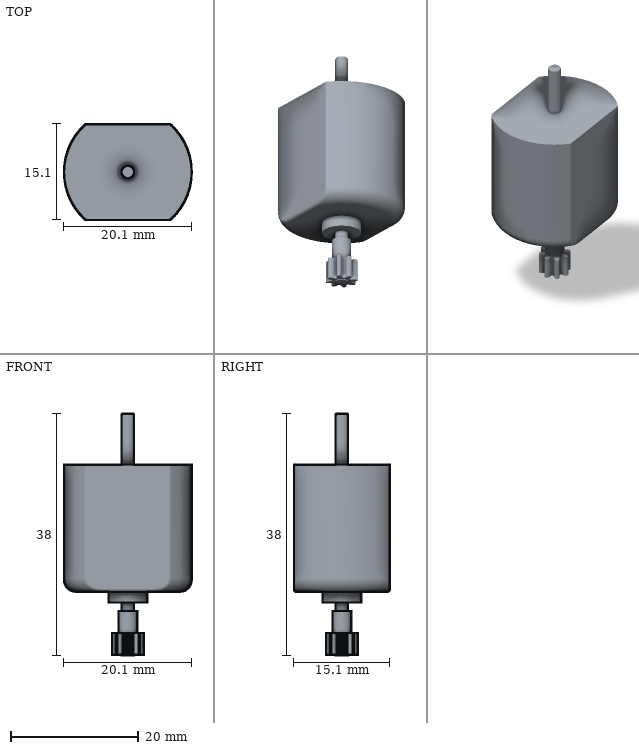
import cadquery as cq
import math

can_diameter = 20.1
flat_distance = 15.1
can_height = 20.0
bottom_radius = 2.0
flat_edge_radius = 0.5

shaft_diameter = 2.0
shaft_length = 38.0
shaft_bottom = -10.0
shaft_top = shaft_bottom + shaft_length
shaft_end_radius = 0.3

boss_diameter = 6.15
boss_height = 1.7

hub_diameter = 3.0
hub_top = -3.0
hub_length = 3.45
tooth_length = 3.45
rim_top = hub_top - hub_length
rim_bottom = rim_top - tooth_length

tooth_count = 8
tip_radius = 2.5
tip_width = 0.34
tooth_width = 0.8
shoulder_radius = 2.05
flank_foot_radius = 1.6
gap_bottom_radius = hub_diameter / 2
tip_bulge = 0.03


def cylinder(diameter, bottom, top):
    return cq.Workplane("XY").workplane(offset=bottom).circle(diameter / 2).extrude(top - bottom)


def make_housing():
    round_can = cylinder(can_diameter, 0, can_height).faces("<Z").edges().fillet(bottom_radius)
    flats = cq.Workplane("XY").box(can_diameter, flat_distance, can_height, centered=(True, True, False))
    can = round_can.intersect(flats)
    can = can.faces("<Y or >Y").edges("not >Z").fillet(flat_edge_radius)
    return can.cut(cylinder(shaft_diameter, 0, can_height))


def make_boss():
    return cylinder(boss_diameter, -boss_height, 0).cut(cylinder(shaft_diameter, -boss_height, 0))


def make_shaft():
    shaft = cylinder(shaft_diameter, shaft_bottom, shaft_top)
    return shaft.faces(">Z").edges().fillet(shaft_end_radius)


def mirrored(point):
    return (point[0], -point[1])


def turned(point, angle):
    x, y = point
    return (x * math.cos(angle) - y * math.sin(angle), x * math.sin(angle) + y * math.cos(angle))


def make_rim():
    half_width = tooth_width / 2
    half_tip = tip_width / 2
    foot = (flank_foot_radius, half_width)
    shoulder = (shoulder_radius, half_width)
    tip = (tip_radius, half_tip)
    bulge = (
        (shoulder_radius + tip_radius) / 2 + tip_bulge,
        (half_width + half_tip) / 2 + tip_bulge,
    )

    pitch_angle = 2 * math.pi / tooth_count
    gap_bottom = turned((gap_bottom_radius, 0), -pitch_angle / 2)
    outline = cq.Workplane("XY").workplane(offset=rim_bottom).moveTo(*gap_bottom)
    for index in range(tooth_count):
        angle = index * pitch_angle
        outline = (
            outline.lineTo(*turned(mirrored(foot), angle))
            .lineTo(*turned(mirrored(shoulder), angle))
            .threePointArc(turned(mirrored(bulge), angle), turned(mirrored(tip), angle))
            .lineTo(*turned(tip, angle))
            .threePointArc(turned(bulge, angle), turned(shoulder, angle))
            .lineTo(*turned(foot, angle))
        )
        if index < tooth_count - 1:
            outline = outline.lineTo(*turned(gap_bottom, angle + pitch_angle))
    return outline.close().extrude(tooth_length)


def make_pinion():
    pinion = make_rim().union(cylinder(hub_diameter, rim_top, hub_top))
    return pinion.cut(cylinder(shaft_diameter, rim_bottom, hub_top))


housing = make_housing()
boss = make_boss()
shaft = make_shaft()
pinion = make_pinion()

result = cq.Compound.makeCompound([housing.val(), boss.val(), shaft.val(), pinion.val()])